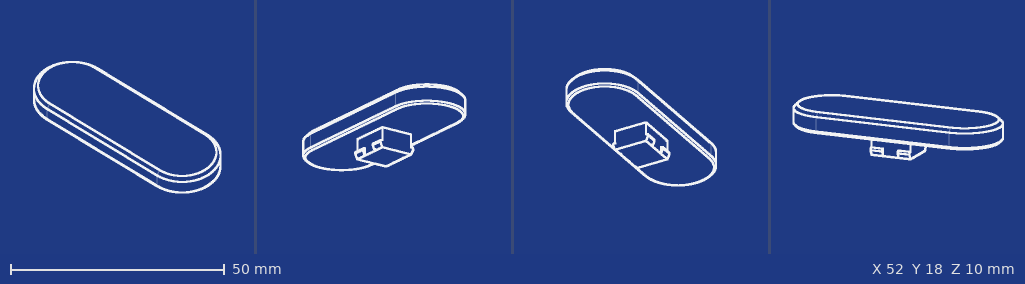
import cadquery as cq

plate_length = 52.0
plate_width = 18.0
plate_thickness = 5.0
top_chamfer = 1.0
bottom_chamfer = 0.5

clip_length = 10.0
clip_width = 8.3
clip_height = 5.0

barb_length = 3.0
barb_reach = 0.6
barb_radius = 0.5
barb_height = 1.8


def make_plate():
    """Stadium-shaped plate with chamfered top and bottom rims."""
    plate = (
        cq.Workplane("XY")
        .slot2D(plate_length, plate_width)
        .extrude(plate_thickness)
    )
    plate = plate.faces(">Z").edges().chamfer(top_chamfer)
    return plate.faces("<Z").edges().chamfer(bottom_chamfer)


def make_clip():
    """Plain block centred under the plate."""
    return (
        cq.Workplane("XY")
        .rect(clip_length, clip_width)
        .extrude(-clip_height)
    )


def make_barb_pair(start_x):
    """One barb section across the clip, overhanging both of its long sides."""
    wall = clip_width / 2
    tip = wall + barb_reach
    bottom = -clip_height
    top = bottom + barb_height
    tip_z = top - barb_radius
    round_start = tip - barb_radius
    return (
        cq.Workplane("YZ", origin=(start_x, 0, 0))
        .moveTo(-wall, bottom)
        .lineTo(wall, bottom)
        .lineTo(tip, tip_z)
        .radiusArc((round_start, top), -barb_radius)
        .lineTo(-round_start, top)
        .radiusArc((-tip, tip_z), -barb_radius)
        .close()
        .extrude(barb_length)
    )


result = make_plate().union(make_clip())
for barb_start in (-clip_length / 2, clip_length / 2 - barb_length):
    result = result.union(make_barb_pair(barb_start))